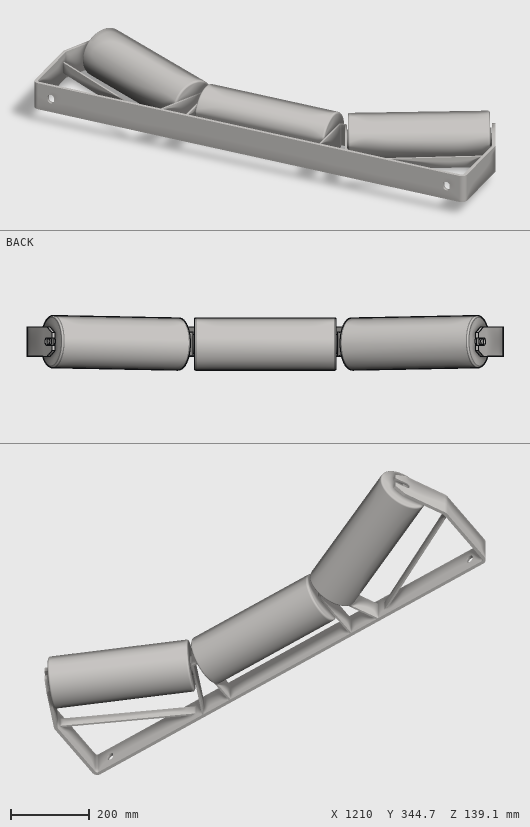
import cadquery as cq
import math

frame_length = 1210.0
strap_height = 75.0
strap_thickness = 8.0
corner_radius = 15.0
bend_radius = 20.0

roller_diameter = 133.0
roller_length = 360.0
roller_edge_radius = 5.0
hub_diameter = 48.0
shaft_diameter = 18.0
shaft_flat_width = 15.0
shaft_reach = 189.0

centre_roller_y = 126.0
centre_roller_z = -6.0
wing_angle = 25.0
wing_tilt = 1.0
wing_x = -380.0
wing_y = 210.0

arm_face_distance = 194.0
arm_tip_length = 33.0
tip_chamfer_length = 30.0
tip_chamfer_height = 15.0

mount_hole_x = 554.0
mount_hole_width = 18.0
mount_hole_height = 24.0

bracket_height = 60.0
bracket_thickness = 5.0
leg_distance = 184.0
bracket_bend_radius = 8.0
bracket_top_y = 152.0

strut_height = 30.0
strut_thickness = 5.0
strut_arm_y = 171.0
strut_base_x = 292.0

cos_wing = math.cos(math.radians(wing_angle))
sin_wing = math.sin(math.radians(wing_angle))
half_length = frame_length / 2
arm_inner_distance = arm_face_distance - strap_thickness
wing_z = centre_roller_z / 2


def wing_point(along, across):
    """Plan point measured from the left wing roller's middle.

    'along' runs outwards on the roller axis, 'across' runs forwards."""
    x = wing_x - along * cos_wing + across * sin_wing
    y = wing_y + along * sin_wing + across * cos_wing
    return (x, y)


def wing_line_at_x(along, x):
    """Point at the given X on the line square to the roller axis at 'along'."""
    across = (x - wing_x + along * cos_wing) / sin_wing
    return wing_point(along, across)


def wing_line_at_y(along, y):
    """Point at the given Y on the line square to the roller axis at 'along'."""
    across = (y - wing_y - along * sin_wing) / cos_wing
    return wing_point(along, across)


def plate(points, height):
    """Upright plate with the given plan outline, centred on Z = 0."""
    base = cq.Workplane("XY", origin=(0, 0, -height / 2))
    return base.polyline(points).close().extrude(height)


def round_bends(bent_plate, bends):
    """Round the upright edges listed as (plan point, radius)."""
    for (x, y), radius in bends:
        edge = cq.selectors.NearestToPointSelector((x, y, 0))
        bent_plate = bent_plate.edges(edge).fillet(radius)
    return bent_plate


def bar_along_x(diameter, length):
    """Round bar along X with its middle at the origin."""
    end = cq.Workplane("YZ", origin=(-length / 2, 0, 0))
    return end.circle(diameter / 2).extrude(length)


def shaft_bar(diameter, flat_width, length):
    """Round bar along X with two flats facing up and down."""
    bar = bar_along_x(diameter, length)
    return bar.intersect(cq.Workplane("XY").box(length, diameter, flat_width))


def place_on_wing(shape):
    """Move a shape made along X at the origin to the left wing position."""
    tilted = shape.rotate((0, 0, 0), (0, 1, 0), wing_tilt)
    swung = tilted.rotate((0, 0, 0), (0, 0, 1), -wing_angle)
    return swung.translate((wing_x, wing_y, wing_z))


def make_roller():
    """Roller along X at the origin, with hubs and flatted shaft ends."""
    drum = bar_along_x(roller_diameter, roller_length).edges("%CIRCLE").fillet(roller_edge_radius)
    hub = bar_along_x(hub_diameter, 2 * leg_distance)
    return drum.union(hub).union(shaft_bar(shaft_diameter, shaft_flat_width, 2 * shaft_reach))


centre_roller = make_roller().translate((0, centre_roller_y, centre_roller_z))
left_roller = place_on_wing(make_roller())
right_roller = left_roller.mirror("YZ")


def make_strap_half():
    """Left half of the bent flat strap: long wall, end wall and sloping arm."""
    inner_x = -half_length + strap_thickness
    outer_bend = wing_line_at_x(arm_face_distance, -half_length)
    inner_bend = wing_line_at_x(arm_inner_distance, inner_x)
    outline = [
        (0, 0),
        (-half_length, 0),
        outer_bend,
        wing_point(arm_face_distance, arm_tip_length),
        wing_point(arm_inner_distance, arm_tip_length),
        inner_bend,
        (inner_x, strap_thickness),
        (0, strap_thickness),
    ]
    return round_bends(plate(outline, strap_height), [
        ((-half_length, 0), corner_radius),
        ((inner_x, strap_thickness), corner_radius - strap_thickness),
        (outer_bend, bend_radius),
        (inner_bend, bend_radius - strap_thickness),
    ])


def make_arm_tip_cutter():
    """Material removed at the arm tip: two chamfers and the open shaft slot."""
    tip = arm_tip_length
    half_height = strap_height / 2
    start = -arm_face_distance - strap_thickness
    depth = 3 * strap_thickness
    side = cq.Workplane("YZ", origin=(start, 0, 0))
    chamfer = side.polyline([
        (tip - tip_chamfer_length, half_height),
        (tip, half_height),
        (tip, half_height - tip_chamfer_height),
    ]).close().extrude(depth)
    slot_end = side.circle(shaft_diameter / 2).extrude(depth)
    slot = side.center(tip / 2, 0).rect(tip, shaft_diameter).extrude(depth)
    cutter = chamfer.union(chamfer.mirror("XY")).union(slot_end).union(slot)
    swung = cutter.rotate((0, 0, 0), (0, 0, 1), -wing_angle)
    return swung.translate((wing_x, wing_y, 0))


def make_mount_hole():
    """Upright round-ended hole through the long wall."""
    wall = cq.Workplane("XZ", origin=(-mount_hole_x, strap_thickness, 0))
    return wall.slot2D(mount_hole_height, mount_hole_width, 90).extrude(strap_thickness)


def make_bracket():
    """Straight leg, bridge and sloping leg between two rollers, in one bent plate."""
    near = -leg_distance
    far = near - bracket_thickness
    inside_y = bracket_top_y - bracket_thickness
    outline = [
        (near, strap_thickness),
        (near, bracket_top_y),
        wing_line_at_y(near, bracket_top_y),
        wing_line_at_y(near, strap_thickness),
        wing_line_at_y(far, strap_thickness),
        wing_line_at_y(far, inside_y),
        (far, inside_y),
        (far, strap_thickness),
    ]
    bracket = round_bends(plate(outline, bracket_height), [
        ((near, bracket_top_y), bracket_bend_radius),
        ((far, inside_y), bracket_bend_radius - bracket_thickness),
    ])
    return bracket.translate((0, 0, centre_roller_z))


def make_strut():
    """Thin diagonal bar from the end wall down to the long wall."""
    wall_x = -half_length + strap_thickness
    slope = math.atan2(strut_arm_y - strap_thickness, -strut_base_x - wall_x)
    rise = strut_thickness / math.cos(slope)
    run = strut_thickness / math.sin(slope)
    outline = [
        (wall_x, strut_arm_y),
        (-strut_base_x, strap_thickness),
        (-strut_base_x - run, strap_thickness),
        (wall_x, strut_arm_y - rise),
    ]
    return plate(outline, strut_height)


def make_frame():
    """Strap, brackets and struts welded into one piece, mirrored about X = 0."""
    half = make_strap_half().cut(make_arm_tip_cutter()).cut(make_mount_hole())
    half = half.union(make_bracket()).union(make_strut())
    return half.union(half.mirror("YZ")).clean()


frame = make_frame()
for roller in (left_roller, centre_roller, right_roller):
    frame = frame.cut(roller)

result = cq.Compound.makeCompound([
    frame.val(),
    left_roller.val(),
    centre_roller.val(),
    right_roller.val(),
])